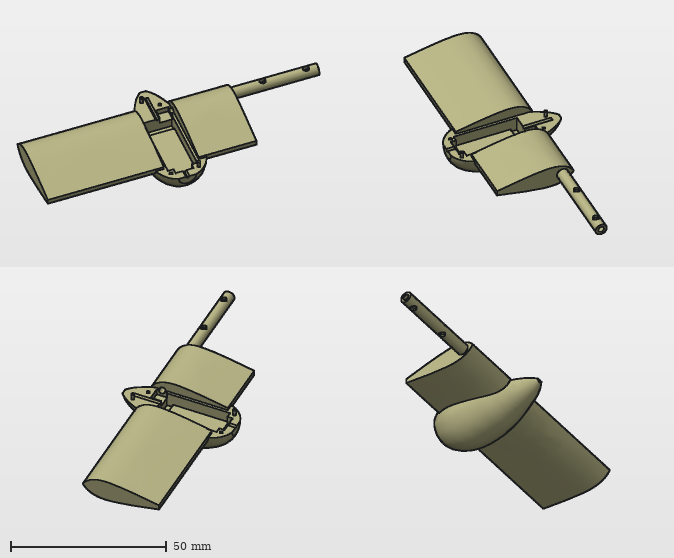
import cadquery as cq

pod_length = 40.0
nose_radius = 1.0
tail_radius = 3.1
pod_depth = 10.3
pod_radii = [
    (2.0, 3.0), (8.7, 6.3), (14.6, 8.6), (21.2, 10.0), (25.9, pod_depth),
    (29.8, 10.1), (33.3, 9.2), (35.9, 8.0), (38.6, 5.7),
]

wing_front = 7.0
chord = 27.1
wing_back = wing_front + chord
half_thickness = 3.9
trailing_half_thickness = 0.9
upper_section = [(8.3, 1.5), (10.8, 3.2), (14.5, half_thickness), (19.7, 3.6), (25.4, 2.7)]
wing_gap = 12.0
long_wing_span = 40.0
short_wing_span = long_wing_span / 2

spar_x = 11.0
spar_diameter = 4.0
bore_diameter = 2.0
cross_hole_diameter = 2.0
overall_span = 102.0
spar_tip_y = overall_span - long_wing_span - wing_gap / 2
outer_hole_inset = 4.0
cross_hole_spacing = 15.0

bay_front = 13.0
bay_back = 35.4
bay_width = 10.1
bay_depth = 4.1
slot_length = 2.2
slot_depth = 5.1
tail_recess_length = 1.8
tail_recess_width = 6.2
tail_recess_depth = 3.1
side_pocket_front = 9.2
side_pocket_inner_y = 0.9
side_pocket_outer_y = 5.3
side_pocket_depth = 2.0
groove_start = 3.0
groove_width = 1.2
groove_depth = 0.6

pin_diameter = 1.0
pin_height = 2.0
socket_depth = 2.0
pin_places = [(4.2, -2.0), (37.0, 5.0)]
socket_places = [(7.2, 3.1), (36.7, -4.5)]


def deck_pocket(x_start, x_end, y_start, y_end, depth):
    """Rectangular cutter reaching down from the deck."""
    return cq.Workplane("XY").box(
        x_end - x_start, y_end - y_start, depth, centered=False
    ).translate((x_start, y_start, -depth))


def along_y(diameter, y_start, y_end):
    """Cylinder on the spar axis."""
    return (
        cq.Workplane("XZ", origin=(spar_x, y_start, 0))
        .circle(diameter / 2)
        .extrude(y_start - y_end)
    )


def make_pod():
    return (
        cq.Workplane("XY")
        .lineTo(0, -nose_radius)
        .spline([(x, -r) for x, r in pod_radii] + [(pod_length, -tail_radius)], includeCurrent=True)
        .lineTo(pod_length, 0)
        .close()
        .revolve(180, (0, 0, 0), (1, 0, 0))
    )


def make_wing(y_start, span):
    """Symmetric section with a blunt trailing edge, extruded toward +Y."""
    upper = upper_section + [(wing_back, trailing_half_thickness)]
    lower = [(x, -z) for x, z in reversed(upper_section)] + [(wing_front, 0)]
    return (
        cq.Workplane("XZ", origin=(0, y_start, 0))
        .moveTo(wing_front, 0)
        .spline(upper, includeCurrent=True)
        .lineTo(wing_back, -trailing_half_thickness)
        .spline(lower, includeCurrent=True)
        .close()
        .extrude(-span)
    )


def make_groove():
    """V groove along the middle of the deck, running out at the tail."""
    return (
        cq.Workplane("YZ", origin=(groove_start, 0, 0))
        .polyline([(-groove_width / 2, 0), (groove_width / 2, 0), (0, -groove_depth)])
        .close()
        .extrude(pod_length - groove_start)
    )


half_gap = wing_gap / 2
half_bay = bay_width / 2

body = make_pod()
body = body.union(make_wing(half_gap, short_wing_span))
body = body.union(make_wing(-half_gap - long_wing_span, long_wing_span))
body = body.union(along_y(spar_diameter, half_gap, spar_tip_y))

bay_step = bay_front + slot_length
tail_recess_back = bay_back + tail_recess_length
half_recess = tail_recess_width / 2
body = body.cut(deck_pocket(bay_front, bay_back, -half_bay, half_bay, bay_depth))
body = body.cut(deck_pocket(bay_front, bay_step, -half_bay, half_bay, slot_depth))
body = body.cut(deck_pocket(bay_back, tail_recess_back, -half_recess, half_recess, tail_recess_depth))
side_pocket = deck_pocket(
    side_pocket_front, bay_front, side_pocket_inner_y, side_pocket_outer_y, side_pocket_depth
)
body = body.cut(side_pocket)
body = body.cut(make_groove())

outer_hole_y = spar_tip_y - outer_hole_inset
cross_hole_places = [(spar_x, outer_hole_y), (spar_x, outer_hole_y - cross_hole_spacing)]
body = body.cut(along_y(bore_diameter, side_pocket_outer_y, spar_tip_y))
cross_holes = (
    cq.Workplane("XY")
    .pushPoints(cross_hole_places)
    .circle(cross_hole_diameter / 2)
    .extrude(spar_diameter, both=True)
)
body = body.cut(cross_holes)

pins = cq.Workplane("XY").pushPoints(pin_places).circle(pin_diameter / 2).extrude(pin_height)
sockets = cq.Workplane("XY").pushPoints(socket_places).circle(pin_diameter / 2).extrude(-socket_depth)
result = body.union(pins).cut(sockets)